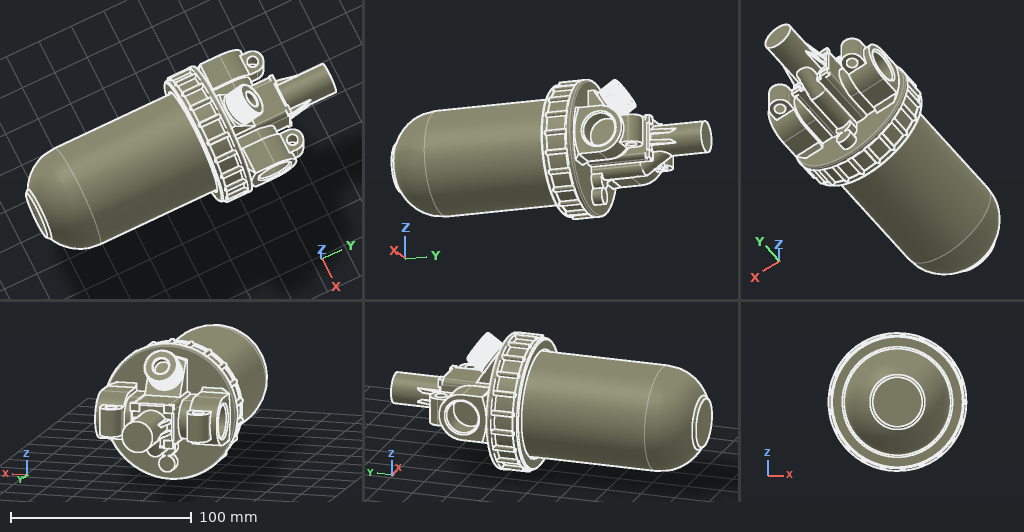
import cadquery as cq
import math


RING_R = 38.3
RING_LENGTH = 18.2
FLANGE_LENGTH = 2.9
FLANGE_FILLET = 0.9
GRIP_R = 36.3
GRIP_START = 4.3
GRIP_END = 15.0
RING_END_R = 36.8
RING_END_CHAMFER = 0.7
GRIP_RIB_COUNT = 21
GRIP_RIB_R = 1.35
GRIP_RIB_END = 15.9
GRIP_RIB_CHAMFER = 0.7

BOWL_R = 59.0 / 2
BOWL_END = 114.6
DOME_START = 89.7
DOME_ARC_R = 25.8
TIP_LENGTH = 1.8
TIP_FACE_R = 13.7
BOWL_CLEARANCE = 1.0
BOWL_TOP = FLANGE_LENGTH

BLOCK_HALF = 12.3
BLOCK_FILLET = 2.7
BLOCK_LENGTH = 34.5
END_PLATE_LENGTH = 1.8
END_PLATE_CHAMFER = 0.9
END_PLATE_FACE = BLOCK_LENGTH + END_PLATE_LENGTH
PAD_X = 5.2
PAD_Z = 4.5
PAD_HEIGHT = 0.5

TUBE_R = 17.5 / 2
TUBE_END = 65.9
GUSSET_Z_INNER = 2.0
GUSSET_Z_OUTER = 4.2
GUSSET_FOOT_X = 10.8
GUSSET_TOP_X = 8.0
GUSSET_TOP_Y = 50.5

PORT_Y = 15.2
PORT_R = 13.4
PORT_INNER_X = 19.0
PORT_OUTER_X = 35.0
PORT_BORE_R = 18.6 / 2
PORT_BORE_DEPTH = 12.6
PORT_BORE_CHAMFER = 0.9
PORT_FLARE_START = 3.2
PORT_FLARE_HEIGHT = 1.8
NECK_CONE_R = 34.1
BRIDGE_R = 10.8

EAR_Y = 30.9
EAR_R = 6.1
EAR_HOLE_R = 6.1 / 2
EAR_HALF_HEIGHT = 7.8
EAR_X = PORT_INNER_X + EAR_R

KNOB_ANGLE = 34
KNOB_BASE_Y = 8.0
KNOB_BASE_Z = 23.1
BOSS_HALF_WIDTH = 10.1
BOSS_NECK_R = 32.0
COLLAR_R = 19.0 / 2
COLLAR_HEIGHT = 1.8
KNOB_HEIGHT = 10.6
KNOB_R = 19.1 / 2
KNURL_COUNT = 36
KNURL_ROOT_R = 18.0 / 2
KNURL_DEPTH = KNOB_R - KNURL_ROOT_R
SOCKET_R = 9.0 / 2
SOCKET_RIM_R = 10.0 / 2
SOCKET_DEPTH = 5.5

DRAIN_R = 10.0 / 2
DRAIN_Z = -13.9
DRAIN_BEND_Y = 28.9
DRAIN_ANGLE = 34
DRAIN_TOP_Y = DRAIN_BEND_Y - DRAIN_Z / math.tan(math.radians(DRAIN_ANGLE))
STUB_LENGTH = 6.0
UPPER_STUB_R = 10.0 / 2
UPPER_STUB_Z = -18.8
LOWER_STUB_R = 9.2 / 2
LOWER_STUB_Z = -28.2


def box_between(x, y, z):
    """Box between two limits on each axis."""
    size = [limits[1] - limits[0] for limits in (x, y, z)]
    return cq.Workplane("XY").box(*size, centered=False).translate((x[0], y[0], z[0]))


def rod(start, direction, radius, length):
    """Cylinder from a start point along a direction."""
    return cq.Workplane(cq.Solid.makeCylinder(radius, length, cq.Vector(*start), cq.Vector(*direction)))


def y_rod(x, z, radius, y_start, y_end):
    """Cylinder parallel to the Y axis."""
    return rod((x, y_start, z), (0, 1, 0), radius, y_end - y_start)


def both_sides(feature):
    """A feature on the +X side together with its mirror image."""
    return feature.union(feature.mirror("YZ"))


def make_ring():
    """Ring with grip ribs and a round recess for the bowl."""
    profile = (
        cq.Workplane("XY")
        .moveTo(0, 0)
        .lineTo(RING_R - FLANGE_FILLET, 0)
        .radiusArc((RING_R, -FLANGE_FILLET), FLANGE_FILLET)
        .lineTo(RING_R, -FLANGE_LENGTH)
        .lineTo(GRIP_R, -GRIP_START)
        .lineTo(GRIP_R, -GRIP_END)
        .lineTo(RING_END_R, -GRIP_END)
        .lineTo(RING_END_R, RING_END_CHAMFER - RING_LENGTH)
        .lineTo(RING_END_R - RING_END_CHAMFER, -RING_LENGTH)
        .lineTo(0, -RING_LENGTH)
        .close()
    )
    ring = profile.revolve(360, (0, 0, 0), (0, 1, 0))
    rib = y_rod(RING_R - GRIP_RIB_R, 0, GRIP_RIB_R, -GRIP_RIB_END, -FLANGE_LENGTH / 2)
    rib = rib.faces("<Y").chamfer(GRIP_RIB_CHAMFER)
    for index in range(GRIP_RIB_COUNT):
        ring = ring.union(rib.rotate((0, 0, 0), (0, 1, 0), index * 360 / GRIP_RIB_COUNT))
    recess = y_rod(0, 0, BOWL_R + BOWL_CLEARANCE, -RING_LENGTH, -BOWL_TOP)
    return ring.cut(recess)


def make_block():
    """Central block with a bevelled end plate and a raised pad at each corner."""
    block = box_between((-BLOCK_HALF, BLOCK_HALF), (0, BLOCK_LENGTH), (-BLOCK_HALF, BLOCK_HALF))
    block = block.edges("|Y").fillet(BLOCK_FILLET)
    plate = box_between(
        (-BLOCK_HALF, BLOCK_HALF), (BLOCK_LENGTH, END_PLATE_FACE), (-BLOCK_HALF, BLOCK_HALF)
    )
    plate = plate.faces(">Y").chamfer(END_PLATE_CHAMFER)
    pad = box_between(
        (BLOCK_HALF - PAD_X, BLOCK_HALF),
        (BLOCK_LENGTH, END_PLATE_FACE + PAD_HEIGHT),
        (BLOCK_HALF - PAD_Z, BLOCK_HALF),
    )
    pads = both_sides(pad.union(pad.mirror("XY")))
    return block.union(plate).union(pads)


def make_outlet_tube():
    """Round outlet tube stiffened by four tapered gussets."""
    tube = y_rod(0, 0, TUBE_R, 0, TUBE_END)
    gusset = (
        cq.Workplane("XY")
        .workplane(offset=GUSSET_Z_INNER)
        .moveTo(0, BLOCK_LENGTH)
        .lineTo(GUSSET_FOOT_X, BLOCK_LENGTH)
        .lineTo(GUSSET_FOOT_X, END_PLATE_FACE)
        .lineTo(GUSSET_TOP_X, GUSSET_TOP_Y)
        .lineTo(0, GUSSET_TOP_Y)
        .close()
        .extrude(GUSSET_Z_OUTER - GUSSET_Z_INNER)
    )
    return tube.union(both_sides(gusset.union(gusset.mirror("XY"))))


def make_port():
    """Port block on the +X side, still without its bore."""
    flare_z = PORT_R + PORT_FLARE_HEIGHT
    port = (
        cq.Workplane("YZ")
        .workplane(offset=PORT_INNER_X)
        .moveTo(0, flare_z)
        .lineTo(PORT_FLARE_START, PORT_R)
        .lineTo(PORT_Y, PORT_R)
        .threePointArc((PORT_Y + PORT_R, 0), (PORT_Y, -PORT_R))
        .lineTo(PORT_FLARE_START, -PORT_R)
        .lineTo(0, -flare_z)
        .close()
        .extrude(PORT_OUTER_X - PORT_INNER_X)
    )
    cone_length = PORT_Y + PORT_R
    neck_cone = cq.Workplane(
        cq.Solid.makeCone(
            NECK_CONE_R, NECK_CONE_R + cone_length, cone_length, cq.Vector(0, 0, 0), cq.Vector(0, 1, 0)
        )
    )
    return port.intersect(neck_cone)


def make_port_bore():
    """Blind bore on the +X side with its chamfered mouth."""
    floor_x = PORT_OUTER_X - PORT_BORE_DEPTH
    bore = rod((floor_x, PORT_Y, 0), (1, 0, 0), PORT_BORE_R, PORT_BORE_DEPTH)
    mouth = cq.Workplane(
        cq.Solid.makeCone(
            PORT_BORE_R,
            PORT_BORE_R + PORT_BORE_CHAMFER,
            PORT_BORE_CHAMFER,
            cq.Vector(PORT_OUTER_X - PORT_BORE_CHAMFER, PORT_Y, 0),
            cq.Vector(1, 0, 0),
        )
    )
    return bore.union(mouth)


def make_bridge():
    """Round-ended bar that ties both ports to the central block."""
    bar = rod((-PORT_INNER_X, PORT_Y, 0), (1, 0, 0), BRIDGE_R, 2 * PORT_INNER_X)
    web = box_between((-PORT_INNER_X, PORT_INNER_X), (0, PORT_Y), (-BRIDGE_R, BRIDGE_R))
    return bar.union(web)


def make_ear():
    """Upright mounting ear on the +X port, still without its hole."""
    height = 2 * EAR_HALF_HEIGHT
    eye = rod((EAR_X, EAR_Y, -EAR_HALF_HEIGHT), (0, 0, 1), EAR_R, height)
    root_y = PORT_Y + PORT_BORE_R + PORT_BORE_CHAMFER
    stem = box_between(
        (EAR_X - EAR_R, EAR_X + EAR_R), (root_y, EAR_Y), (-EAR_HALF_HEIGHT, EAR_HALF_HEIGHT)
    )
    return eye.union(stem)


def make_ear_hole():
    """Hole through the full height of the +X ear."""
    return rod((EAR_X, EAR_Y, -EAR_HALF_HEIGHT), (0, 0, 1), EAR_HOLE_R, 2 * EAR_HALF_HEIGHT)


def make_slanted_boss():
    """Wedge with a face square to the knob axis, trimmed to the round neck."""
    slope = math.tan(math.radians(KNOB_ANGLE))
    wedge = (
        cq.Workplane("YZ")
        .workplane(offset=-BOSS_HALF_WIDTH)
        .moveTo(0, 0)
        .lineTo(KNOB_BASE_Y + KNOB_BASE_Z * slope, 0)
        .lineTo(0, KNOB_BASE_Z + KNOB_BASE_Y / slope)
        .close()
        .extrude(2 * BOSS_HALF_WIDTH)
    )
    return wedge.intersect(y_rod(0, 0, BOSS_NECK_R, 0, BLOCK_LENGTH))


def make_knob():
    """Knurled vent knob, modelled upright and then tilted onto the slanted boss."""
    collar = cq.Workplane("XY").circle(COLLAR_R).extrude(COLLAR_HEIGHT)
    knurl_points = []
    for index in range(2 * KNURL_COUNT):
        radius = KNOB_R if index % 2 == 0 else KNURL_ROOT_R
        angle = index * math.pi / KNURL_COUNT
        knurl_points.append((radius * math.cos(angle), radius * math.sin(angle)))
    grip = (
        cq.Workplane("XY")
        .workplane(offset=COLLAR_HEIGHT)
        .polyline(knurl_points)
        .close()
        .extrude(KNOB_HEIGHT)
    )
    envelope = (
        cq.Workplane("XY")
        .workplane(offset=COLLAR_HEIGHT)
        .circle(KNOB_R)
        .extrude(KNOB_HEIGHT)
        .faces(">Z")
        .chamfer(KNURL_DEPTH)
    )
    knob = collar.union(grip.intersect(envelope))
    top = COLLAR_HEIGHT + KNOB_HEIGHT
    socket = cq.Workplane("XY").workplane(offset=top).circle(SOCKET_R).extrude(-SOCKET_DEPTH)
    rim_depth = SOCKET_RIM_R - SOCKET_R
    rim = cq.Workplane(
        cq.Solid.makeCone(SOCKET_R, SOCKET_RIM_R, rim_depth, cq.Vector(0, 0, top - rim_depth))
    )
    knob = knob.cut(socket).cut(rim)
    return knob.rotate((0, 0, 0), (1, 0, 0), KNOB_ANGLE - 90).translate((0, KNOB_BASE_Y, KNOB_BASE_Z))


def make_drain():
    """Drain tube, webbed to the block, that bends up into the outlet tube."""
    path = cq.Workplane("YZ").polyline([(0, DRAIN_Z), (DRAIN_BEND_Y, DRAIN_Z), (DRAIN_TOP_Y, 0)])
    pipe = cq.Workplane("XZ", origin=(0, 0, DRAIN_Z)).circle(DRAIN_R).sweep(path, transition="right")
    web = box_between((-DRAIN_R, DRAIN_R), (0, DRAIN_BEND_Y), (DRAIN_Z, 0))
    return pipe.union(web)


def make_stubs():
    """Two round stubs standing on the ring face under the drain tube."""
    upper = y_rod(0, UPPER_STUB_Z, UPPER_STUB_R, 0, STUB_LENGTH)
    lower = y_rod(0, LOWER_STUB_Z, LOWER_STUB_R, 0, STUB_LENGTH)
    return upper.union(lower)


def make_housing():
    """Ring, block, ports, tubes and knob as one solid."""
    housing = make_ring().union(make_block()).union(make_bridge())
    housing = housing.union(both_sides(make_port().union(make_ear())))
    housing = housing.union(make_outlet_tube()).union(make_drain()).union(make_stubs())
    housing = housing.union(make_slanted_boss()).union(make_knob())
    return housing.cut(both_sides(make_port_bore())).cut(both_sides(make_ear_hole()))


def make_bowl():
    """Solid bowl with a domed end and a small flat tip."""
    dome_end = BOWL_END - TIP_LENGTH
    arc_centre_r = BOWL_R - DOME_ARC_R
    dome_depth = dome_end - DOME_START
    dome_end_r = arc_centre_r + math.sqrt(DOME_ARC_R**2 - dome_depth**2)
    return (
        cq.Workplane("XY")
        .moveTo(0, -BOWL_TOP)
        .lineTo(BOWL_R, -BOWL_TOP)
        .lineTo(BOWL_R, -DOME_START)
        .radiusArc((dome_end_r, -dome_end), DOME_ARC_R)
        .lineTo(TIP_FACE_R, -BOWL_END)
        .lineTo(0, -BOWL_END)
        .close()
        .revolve(360, (0, 0, 0), (0, 1, 0))
    )


housing = make_housing()
bowl = make_bowl()
result = cq.Compound.makeCompound([housing.val(), bowl.val()])